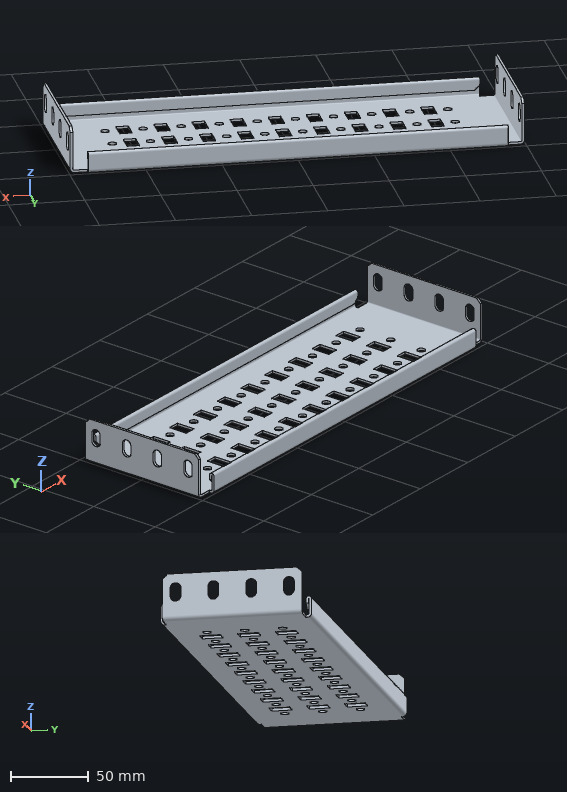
import cadquery as cq

LENGTH = 298.5
WIDTH = 100.0
HEIGHT = 31.0
SHEET = 1.85
BEND_OUTER = 2.78
BEND_INNER = BEND_OUTER - SHEET

PLATE_WIDTH = 92.5
PLATE_CHAMFER = 3.3

RAIL_LENGTH = 275.8
RAIL_HEIGHT = 14.3
RAIL_FLOOR_OVERLAP = 3.0
HEM_WIDTH = 4.0
HEM_LIP_BOTTOM = 6.0
LIP_CHAMFER = 3.5

HOLE_COLUMNS = 10
ROWS = 3
HOLE_SPAN = 225.0
PITCH = HOLE_SPAN / (HOLE_COLUMNS - 1)
HOLE_DIAMETER = 5.5
WINDOW_LENGTH = 8.0
WINDOW_WIDTH = 13.5

SLOT_COUNT = 4
SLOT_WIDTH = 7.0
SLOT_HEIGHT = 12.0
SLOT_CENTER_Z = 18.8


def plate_block(length, height):
    """Square-edged block across the plate width, standing on Z = 0."""
    return cq.Workplane("XY").box(length, PLATE_WIDTH, height, centered=(True, True, False))


def floor_and_end_plates():
    """U-shaped channel bent along X, with the top corners of both ends cut off."""
    outer = plate_block(LENGTH, HEIGHT).edges("|Y and <Z").fillet(BEND_OUTER)
    inner = plate_block(LENGTH - 2 * SHEET, HEIGHT).edges("|Y and <Z").fillet(BEND_INNER)
    channel = outer.cut(inner.translate((0, 0, SHEET)))
    return channel.edges("|X and >Z").chamfer(PLATE_CHAMFER)


def side_rail():
    """Rail on the +Y side: floor bend, outer wall, rounded hem and inner lip."""
    wall_outer_y = WIDTH / 2
    wall_inner_y = wall_outer_y - SHEET
    lip_inner_y = wall_outer_y - HEM_WIDTH
    lip_outer_y = lip_inner_y + SHEET
    bend_y = wall_outer_y - BEND_OUTER
    floor_y = bend_y - RAIL_FLOOR_OVERLAP
    hem_radius = HEM_WIDTH / 2
    hem_y = wall_outer_y - hem_radius
    hem_z = RAIL_HEIGHT - hem_radius
    rail = (
        cq.Workplane("YZ")
        .moveTo(floor_y, 0)
        .lineTo(bend_y, 0)
        .radiusArc((wall_outer_y, BEND_OUTER), -BEND_OUTER)
        .lineTo(wall_outer_y, hem_z)
        .threePointArc((hem_y, RAIL_HEIGHT), (lip_inner_y, hem_z))
        .lineTo(lip_inner_y, HEM_LIP_BOTTOM)
        .lineTo(lip_outer_y, HEM_LIP_BOTTOM)
        .lineTo(lip_outer_y, hem_z)
        .threePointArc((hem_y, RAIL_HEIGHT - SHEET), (wall_inner_y, hem_z))
        .lineTo(wall_inner_y, BEND_OUTER)
        .radiusArc((bend_y, SHEET), BEND_INNER)
        .lineTo(floor_y, SHEET)
        .close()
        .extrude(RAIL_LENGTH / 2, both=True)
    )
    for end in (-1, 1):
        corner = (end * RAIL_LENGTH / 2, (lip_inner_y + lip_outer_y) / 2, HEM_LIP_BOTTOM)
        rail = rail.edges(cq.selectors.NearestToPointSelector(corner)).chamfer(LIP_CHAMFER)
    return rail


def floor_perforations():
    """Rows of round holes with a rectangular window between neighbours."""
    holes = (
        cq.Workplane("XY")
        .rarray(PITCH, PITCH, HOLE_COLUMNS, ROWS)
        .circle(HOLE_DIAMETER / 2)
        .extrude(SHEET)
    )
    windows = (
        cq.Workplane("XY")
        .rarray(PITCH, PITCH, HOLE_COLUMNS - 1, ROWS)
        .rect(WINDOW_LENGTH, WINDOW_WIDTH)
        .extrude(SHEET)
    )
    return holes.union(windows)


def end_slots():
    """Row of upright slots passing through both end plates."""
    return (
        cq.Workplane("YZ")
        .center(0, SLOT_CENTER_Z)
        .rarray(PITCH, 3, SLOT_COUNT, 1)
        .slot2D(SLOT_HEIGHT, SLOT_WIDTH, 90)
        .extrude(LENGTH / 2, both=True)
    )


rail = side_rail()
tray = floor_and_end_plates().union(rail).union(rail.mirror("XZ"))
result = tray.cut(floor_perforations()).cut(end_slots())